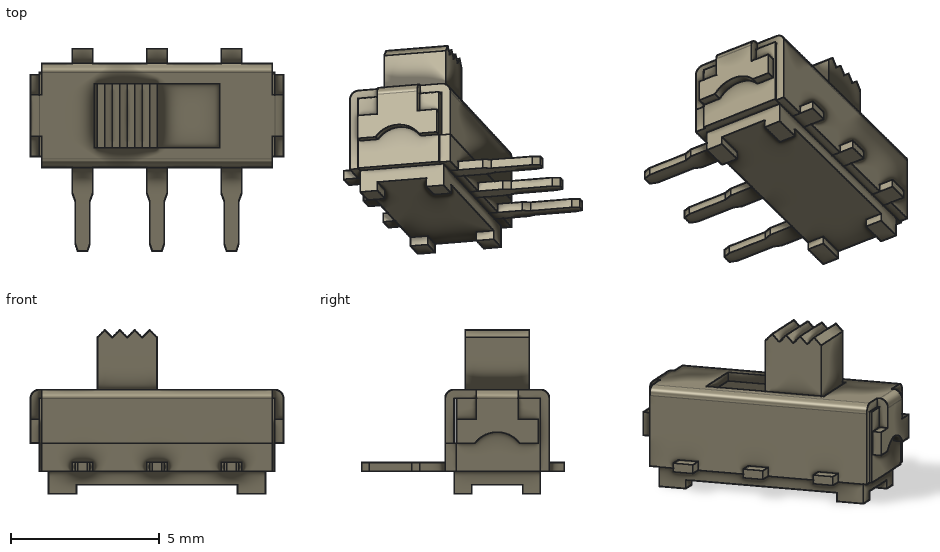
import cadquery as cq


sheet = 0.3
cover_length = 7.75
cover_width = 3.5
cover_top = 2.75
front_wall_bottom = 0.95
inner_half_width = cover_width / 2 - sheet
inner_top = cover_top - sheet

neck_width = 1.4
hook_width = 2.75
hook_top = 1.75
hook_bottom = front_wall_bottom
relief_width = 1.5
relief_height = 0.37

base_length = 7.9
base_front_y = -hook_width / 2
foot_length = 7.3
foot_drop = 0.75
foot_channel_height = 0.3
foot_channel_length = 5.4
foot_channel_width = 1.7

slot_length = 4.2
knob_length = 2.0
knob_width = 2.15
knob_left_x = -2.0
tooth_count = 4
tooth_pitch = knob_length / tooth_count
tooth_height = tooth_pitch / 2
tooth_root = 4.5

pin_count = 3
pin_pitch = 2.5
pin_thickness = 0.3
pin_width = 0.7
pin_leg_width = 0.5
pin_tip_width = 0.33
pin_back_y = 2.25
shoulder_start_y = -2.6
shoulder_end_y = -2.87
tip_start_y = -4.3
pin_front_y = -4.55
pin_positions = [(i - (pin_count - 1) / 2) * pin_pitch for i in range(pin_count)]


def block(x_range, y_range, z_range):
    """Box spanning the given (low, high) ranges."""
    size = [high - low for low, high in (x_range, y_range, z_range)]
    corner = (x_range[0], y_range[0], z_range[0])
    return cq.Workplane("XY").box(*size, centered=False).translate(corner)


def centred(length):
    """Range of the given length centred on zero."""
    return (-length / 2, length / 2)


def make_pin(x):
    """Flat terminal with a stepped-down leg and a tapered tip."""
    right_side = [
        (pin_width / 2, pin_back_y),
        (pin_width / 2, shoulder_start_y),
        (pin_leg_width / 2, shoulder_end_y),
        (pin_leg_width / 2, tip_start_y),
        (pin_tip_width / 2, pin_front_y),
    ]
    left_side = [(-px, py) for px, py in reversed(right_side)]
    outline = cq.Workplane("XY").polyline(right_side + left_side).close()
    return outline.extrude(pin_thickness).translate((x, 0, 0))


def make_knob():
    """Slider knob with a row of grip teeth, standing on the base."""
    teeth = []
    for i in range(tooth_count):
        tooth_x = knob_left_x + i * tooth_pitch
        teeth.append((tooth_x, tooth_root))
        teeth.append((tooth_x + tooth_pitch / 2, tooth_root + tooth_height))
    knob_right_x = knob_left_x + knob_length
    outline = [(knob_left_x, inner_top)] + teeth + [(knob_right_x, tooth_root), (knob_right_x, inner_top)]
    return cq.Workplane("XZ").polyline(outline).close().extrude(knob_width / 2, both=True)


def make_tab():
    """Hooked tab at the -X end: rounded bend, neck and a wide hook with an arched relief."""
    inner_x = -base_length / 2
    outer_x = inner_x - sheet
    neck = block((outer_x, -cover_length / 2), centred(neck_width), (hook_bottom, cover_top))
    neck = neck.edges("|Y and >Z and <X").fillet(sheet)
    neck = neck.cut(block((inner_x, 0), centred(neck_width), (hook_bottom, inner_top)))
    hook = block((outer_x, inner_x), centred(hook_width), (hook_bottom, hook_top))
    relief = (
        cq.Workplane("YZ", origin=(outer_x, 0, 0))
        .moveTo(-relief_width / 2, hook_bottom)
        .threePointArc((0, hook_bottom + relief_height), (relief_width / 2, hook_bottom))
        .close()
        .extrude(sheet)
    )
    return neck.union(hook).cut(relief)


def make_cover(pins):
    """Folded cover: top with slot, short front wall, full back wall, two end tabs."""
    shell = block(centred(cover_length), centred(cover_width), (0, cover_top))
    shell = shell.edges("|X and >Z").fillet(sheet)
    shell = shell.cut(block(centred(cover_length), centred(2 * inner_half_width), (0, inner_top)))
    shell = shell.cut(
        block(centred(cover_length), (-cover_width / 2, -inner_half_width), (0, front_wall_bottom))
    )
    shell = shell.cut(block(centred(slot_length), centred(knob_width), (inner_top, cover_top)))
    tab = make_tab()
    shell = shell.union(tab).union(tab.mirror("YZ"))
    for pin in pins:
        shell = shell.cut(pin)
    return shell


def make_base(pins):
    """Insulating base: main block, front lip under the cover wall, and four corner feet."""
    body = block(centred(base_length), (base_front_y, inner_half_width), (0, inner_top))
    lip = block(centred(cover_length), (-cover_width / 2, base_front_y), (0, front_wall_bottom))
    foot_width = 2 * inner_half_width
    feet = block(centred(foot_length), centred(foot_width), (-foot_drop, 0))
    channel_z = (-foot_drop, -foot_drop + foot_channel_height)
    feet = feet.cut(block(centred(foot_channel_length), centred(foot_width), channel_z))
    feet = feet.cut(block(centred(foot_length), centred(foot_channel_width), channel_z))
    base = body.union(lip).union(feet)
    for pin in pins:
        base = base.cut(pin)
    return base


terminals = [make_pin(x) for x in pin_positions]
knob = make_knob()
cover = make_cover(terminals)
base = make_base(terminals)

bodies = [cover, base, knob] + terminals
result = cq.Compound.makeCompound([body.solids().val() for body in bodies])